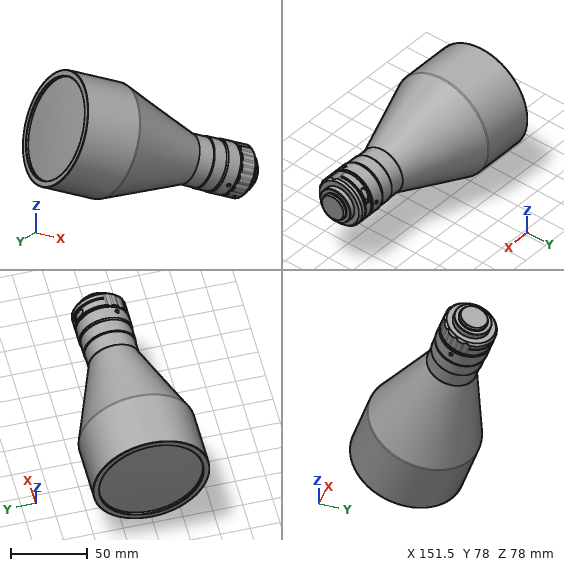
import cadquery as cq
import math

OVERALL_LENGTH = 151.5
BARREL_END = 39.7
CONE_START = 40.7
CONE_END = 100.4
NECK_START = 100.9
COLLAR_START = 111.8
COLLAR_END = 121.8
RING_START = 122.8
RING_END = 132.5
CLAMP_START = 133.3
CLAMP_END = 144.8
FLANGE_END = 148.9
NOSE_CHAMFER_START = 150.1

BARREL_DIAMETER = 78.0
BARREL_RADIUS = BARREL_DIAMETER / 2
CONE_START_RADIUS = 38.8
CONE_END_RADIUS = 17.3
NECK_RADIUS = 17.1
COLLAR_RADIUS = 17.5
RING_RADIUS = 18.0
GAP_RADIUS = 16.4
FLANGE_RADIUS = 12.7
NOSE_RADIUS = 9.8
NOSE_TIP_RADIUS = 9.1

SMALL_CHAMFER = 0.3
COLLAR_CHAMFER_LENGTH = 0.6
RING_CHAMFER = 0.5
CLAMP_FRONT_CHAMFER = 0.6
CLAMP_CHAMFER_LENGTH = 1.7
CLAMP_CHAMFER_DEPTH = 1.4

LENS_RADIUS = 34.8
LENS_EDGE_DEPTH = 1.8
LENS_APEX_DEPTH = 0.3

SCREW_HOLE_X = 128.5
SCREW_HOLE_DIAMETER = 2.4
SCREW_HOLE_DEPTH = 1.8
SCREW_HOLE_COUNT = 3

FLUTE_PITCH = 25.3
FLUTE_COUNT = 7
FLUTE_MIDDLE_ANGLE = 184.0
FLUTE_DEPTH = 0.6
FLUTE_RADIUS = 3.6
FLUTE_EDGE_FILLET = 2.4

SLIT_START = 139.2
SLIT_WIDTH = 1.0
SLIT_DEPTH = 1.5
SLIT_SPAN = 186.0
SLIT_MIDDLE_ANGLE = FLUTE_MIDDLE_ANGLE - 180

SEAT_X = 136.3
SEAT_Y = 14.4
SEAT_DIAMETER = 4.5
SEAT_FLOOR_Z = 4.4
SCREW_HEAD_RECESS = 0.3


def on_axis(start, length, radius):
    """Solid cylinder about the X axis."""
    return cq.Workplane("YZ", origin=(start, 0, 0)).circle(radius).extrude(length)


def turn(points):
    """Revolve (x, radius) points, closed along the axis, about X."""
    outline = [(points[0][0], 0)] + points + [(points[-1][0], 0)]
    return cq.Workplane("XY").polyline(outline).close().revolve(360, (0, 0, 0), (1, 0, 0))


def around_axis(shape, angle):
    """Turn a shape built at +Y about X, toward +Z for positive angles."""
    return shape.rotate((0, 0, 0), (1, 0, 0), angle)


def make_body():
    """Barrel, cone, neck, collar, plain ring, clamp core, flange and nose."""
    return turn([
        (0, BARREL_RADIUS - SMALL_CHAMFER),
        (SMALL_CHAMFER, BARREL_RADIUS),
        (BARREL_END, BARREL_RADIUS),
        (CONE_START, CONE_START_RADIUS),
        (CONE_END, CONE_END_RADIUS),
        (NECK_START, NECK_RADIUS),
        (COLLAR_START, NECK_RADIUS),
        (COLLAR_START + COLLAR_CHAMFER_LENGTH, COLLAR_RADIUS),
        (COLLAR_END - SMALL_CHAMFER, COLLAR_RADIUS),
        (COLLAR_END, COLLAR_RADIUS - SMALL_CHAMFER),
        (RING_START, RING_RADIUS),
        (RING_END - RING_CHAMFER, RING_RADIUS),
        (RING_END, RING_RADIUS - RING_CHAMFER),
        (RING_END, GAP_RADIUS),
        (CLAMP_END, GAP_RADIUS),
        (CLAMP_END, FLANGE_RADIUS),
        (FLANGE_END - SMALL_CHAMFER, FLANGE_RADIUS),
        (FLANGE_END, FLANGE_RADIUS - SMALL_CHAMFER),
        (FLANGE_END, NOSE_RADIUS),
        (NOSE_CHAMFER_START, NOSE_RADIUS),
        (OVERALL_LENGTH, NOSE_TIP_RADIUS),
    ])


def make_lens_recess():
    """Front recess with a chamfered mouth whose floor is a shallow convex lens surface."""
    return (
        cq.Workplane("XY")
        .lineTo(0, LENS_RADIUS + SMALL_CHAMFER)
        .lineTo(SMALL_CHAMFER, LENS_RADIUS)
        .lineTo(LENS_EDGE_DEPTH, LENS_RADIUS)
        .threePointArc(*lens_arc())
        .close()
        .revolve(360, (0, 0, 0), (1, 0, 0))
    )


def lens_arc():
    """Middle and end points of the lens profile, from its rim to its apex."""
    sag = LENS_EDGE_DEPTH - LENS_APEX_DEPTH
    sphere_radius = (LENS_RADIUS**2 + sag**2) / (2 * sag)
    half_angle = math.asin(LENS_RADIUS / sphere_radius) / 2
    middle_x = LENS_APEX_DEPTH + sphere_radius * (1 - math.cos(half_angle))
    middle_radius = sphere_radius * math.sin(half_angle)
    return (middle_x, middle_radius), (LENS_APEX_DEPTH, 0)


def make_screw_hole(angle):
    """Blind radial hole in the plain ring."""
    hole = (
        cq.Workplane("XZ", origin=(SCREW_HOLE_X, RING_RADIUS + SCREW_HOLE_DEPTH, 0))
        .circle(SCREW_HOLE_DIAMETER / 2)
        .extrude(2 * SCREW_HOLE_DEPTH)
    )
    return around_axis(hole, angle)


def make_fluted_blank():
    """Clamp ring blank with its round flutes and softened flute edges."""
    length = CLAMP_END - CLAMP_START
    blank = on_axis(CLAMP_START, length, RING_RADIUS)
    flute_center = RING_RADIUS - FLUTE_DEPTH + FLUTE_RADIUS
    flute = on_axis(CLAMP_START, length, FLUTE_RADIUS).translate((0, flute_center, 0))
    for index in range(FLUTE_COUNT):
        step = index - (FLUTE_COUNT - 1) / 2
        blank = blank.cut(around_axis(flute, FLUTE_MIDDLE_ANGLE + step * FLUTE_PITCH))
    flute_edges = blank.edges("|X").filter(lambda edge: edge.Center().y < 0)
    return flute_edges.fillet(FLUTE_EDGE_FILLET)


def make_clamp_envelope():
    """Clamp ring outline with a small front chamfer and a large rear one."""
    return turn([
        (CLAMP_START, RING_RADIUS - CLAMP_FRONT_CHAMFER),
        (CLAMP_START + CLAMP_FRONT_CHAMFER, RING_RADIUS),
        (CLAMP_END - CLAMP_CHAMFER_LENGTH, RING_RADIUS),
        (CLAMP_END, RING_RADIUS - CLAMP_CHAMFER_DEPTH),
    ])


def make_slit():
    """Narrow slit that runs part of the way around the clamp ring."""
    slit_floor = RING_RADIUS - SLIT_DEPTH
    slit = (
        cq.Workplane("XY")
        .center(SLIT_START, slit_floor)
        .rect(SLIT_WIDTH, 2 * SLIT_DEPTH, centered=False)
        .revolve(SLIT_SPAN, (0, -slit_floor, 0), (1, -slit_floor, 0))
    )
    return around_axis(slit, SLIT_MIDDLE_ANGLE - SLIT_SPAN / 2)


def make_screw_seat():
    """Flat-floored notch open toward +Y, leaving a round screw head standing in it.

    The head's top follows the ring, slightly below the ring's outer surface.
    """
    height = RING_RADIUS - SEAT_FLOOR_Z
    seat_plane = cq.Workplane("XY", origin=(SEAT_X, SEAT_Y, SEAT_FLOOR_Z))
    screw_head = seat_plane.circle(SEAT_DIAMETER / 2).extrude(height)
    notch = (
        seat_plane.center(0, RING_RADIUS / 2)
        .rect(SEAT_DIAMETER, RING_RADIUS)
        .extrude(height)
    )
    head_core = on_axis(CLAMP_START, CLAMP_END - CLAMP_START, RING_RADIUS - SCREW_HEAD_RECESS)
    return notch.union(screw_head).cut(screw_head.intersect(head_core))


body = make_body().cut(make_lens_recess())
for screw_index in range(SCREW_HOLE_COUNT):
    body = body.cut(make_screw_hole(screw_index * 360.0 / SCREW_HOLE_COUNT))

clamp_ring = make_fluted_blank().intersect(make_clamp_envelope())
clamp_ring = clamp_ring.cut(make_slit()).cut(make_screw_seat())

result = body.union(clamp_ring)